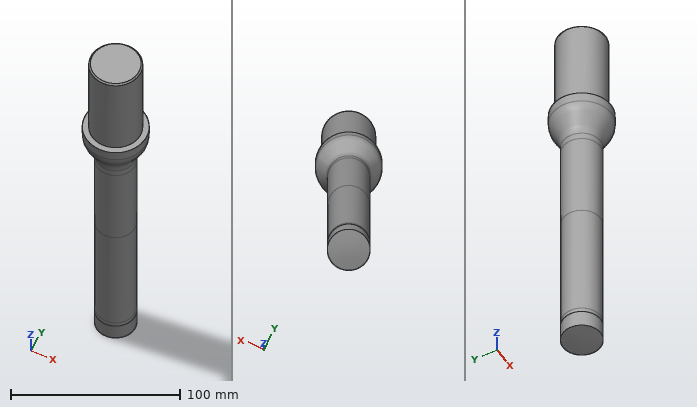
import cadquery as cq
import math

TOTAL_LENGTH = 246.0
TIP_HEIGHT = 1.0
HEAD_TOP = 12.3
LOWER_TAPER_TOP = 15.3
BLEND_BOTTOM = 96.2
COLLAR_BOTTOM = 155.5
COLLAR_TOP = 160.0
FLANGE_BOTTOM = 179.5
FLANGE_TOP = 186.2

HEAD_DIAMETER = 25.3
STEM_DIAMETER = 25.0
COLLAR_DIAMETER = HEAD_DIAMETER
FLANGE_DIAMETER = 39.5
SHANK_DIAMETER = 32.0

SHANK_CHAMFER = 1.0

AXIAL_TANGENT = (0, 1)


def add_blend(profile, radius, height):
    """Add a smooth S-curve that starts and ends parallel to the tool axis."""
    return profile.spline(
        [(radius, height)],
        tangents=[AXIAL_TANGENT, AXIAL_TANGENT],
        includeCurrent=True,
    )


def make_cutting_head():
    """Short cylinder at the lower end, closed by a very shallow spherical dome."""
    head_radius = HEAD_DIAMETER / 2
    dome_radius = (head_radius**2 + TIP_HEIGHT**2) / (2 * TIP_HEIGHT)
    mid_radius = head_radius / 2
    mid_height = dome_radius - math.sqrt(dome_radius**2 - mid_radius**2)

    profile = cq.Workplane("XZ").moveTo(0, 0)
    profile = profile.threePointArc((mid_radius, mid_height), (head_radius, TIP_HEIGHT))
    profile = profile.lineTo(head_radius, HEAD_TOP)
    profile = profile.lineTo(0, HEAD_TOP).close()
    return profile.revolve(360, (0, 0, 0), (0, 1, 0))


def make_holder():
    """Revolved stem, collar, flange and shank, standing on the cutting head."""
    stem_radius = STEM_DIAMETER / 2
    collar_radius = COLLAR_DIAMETER / 2
    flange_radius = FLANGE_DIAMETER / 2
    shank_radius = SHANK_DIAMETER / 2

    profile = cq.Workplane("XZ").moveTo(0, HEAD_TOP)
    profile = profile.lineTo(HEAD_DIAMETER / 2, HEAD_TOP)
    profile = profile.lineTo(stem_radius, LOWER_TAPER_TOP)
    profile = profile.lineTo(stem_radius, BLEND_BOTTOM)
    profile = add_blend(profile, collar_radius, COLLAR_BOTTOM)
    profile = profile.lineTo(collar_radius, COLLAR_TOP)
    profile = add_blend(profile, flange_radius, FLANGE_BOTTOM)
    profile = profile.lineTo(flange_radius, FLANGE_TOP)
    profile = profile.lineTo(shank_radius, FLANGE_TOP)
    profile = profile.lineTo(shank_radius, TOTAL_LENGTH)
    profile = profile.lineTo(0, TOTAL_LENGTH).close()
    holder = profile.revolve(360, (0, 0, 0), (0, 1, 0))
    return holder.faces(">Z").chamfer(SHANK_CHAMFER)


cutting_head = make_cutting_head()
holder = make_holder()

result = cq.Compound.makeCompound([cutting_head.val(), holder.val()])